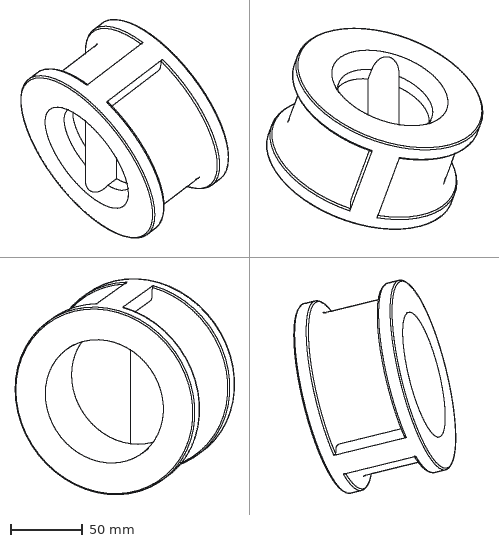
import cadquery as cq

outer_diameter = 137.0
length = 73.0
outer_radius = outer_diameter / 2
inlet_y = -length / 2
outlet_y = length / 2

waist_radius = 58.8
flange_rim_thickness = 11.0
flange_root_thickness = 11.5
waist_fillet = 2.7
outer_chamfer = 1.1
inner_chamfer_axial = 1.4
inner_chamfer_radial = 1.0
selection_margin = 0.1

inlet_radius = 42.6
throat_radius = 34.8
cone_depth = 11.0
seat_depth = 19.3
outlet_bore_radius = 90.0 / 2
seat_y = inlet_y + seat_depth

rib_width = 20.0
rib_radius = rib_width / 2
rib_axis_depth = 12.3

plate_thickness = 6.8


def y_cylinder(radius, y_start, y_end):
    """Cylinder on the Y axis between two Y positions."""
    return cq.Workplane("XZ", origin=(0, y_start, 0)).circle(radius).extrude(y_start - y_end)


def make_spool():
    """Waist between two flanges with chamfered rims and drafted inner faces."""
    rim_y = length / 2 - flange_rim_thickness
    root_y = length / 2 - flange_root_thickness
    outlet_flange = [
        (waist_radius, root_y),
        (outer_radius - inner_chamfer_radial, rim_y),
        (outer_radius, rim_y + inner_chamfer_axial),
        (outer_radius, outlet_y - outer_chamfer),
        (outer_radius - outer_chamfer, outlet_y),
    ]
    inlet_flange = [(radius, -y) for radius, y in reversed(outlet_flange)]
    profile = [(0, inlet_y)] + inlet_flange + outlet_flange + [(0, outlet_y)]
    spool = cq.Workplane("XY").polyline(profile).close().revolve(360, (0, 0, 0), (0, 1, 0))
    box_reach = waist_radius + selection_margin
    box_y = root_y + selection_margin
    waist_edges = cq.selectors.BoxSelector(
        (-box_reach, -box_y, -box_reach),
        (box_reach, box_y, box_reach),
        boundingbox=True,
    )
    return spool.edges(waist_edges).edges("%CIRCLE").fillet(waist_fillet)


def make_webs():
    """Upper and lower webs, flush with the flange rims; the middle is bored out later."""
    web_length = length - 2 * flange_rim_thickness + 2 * inner_chamfer_axial
    bar = cq.Workplane("XY").box(rib_width, web_length, outer_diameter)
    return bar.intersect(y_cylinder(outer_radius, -web_length / 2, web_length / 2))


def make_passage():
    """Conical inlet, cylindrical throat and wider outlet bore."""
    profile = [
        (0, inlet_y),
        (inlet_radius, inlet_y),
        (throat_radius, inlet_y + cone_depth),
        (throat_radius, seat_y),
        (outlet_bore_radius, seat_y),
        (outlet_bore_radius, outlet_y),
        (0, outlet_y),
    ]
    return cq.Workplane("XY").polyline(profile).close().revolve(360, (0, 0, 0), (0, 1, 0))


def make_rib():
    """Round-nosed rib across the inlet, ending at the seat and trimmed by the passage."""
    axis_y = inlet_y + rib_axis_depth
    profile = (
        cq.Workplane("XY", origin=(0, 0, -outer_radius))
        .moveTo(-rib_radius, seat_y)
        .lineTo(-rib_radius, axis_y)
        .threePointArc((0, axis_y - rib_radius), (rib_radius, axis_y))
        .lineTo(rib_radius, seat_y)
        .close()
    )
    return profile.extrude(outer_diameter)


def make_housing():
    passage = make_passage()
    return make_spool().union(make_webs()).cut(passage.cut(make_rib()))


def make_plate(side):
    """Half disc resting on the seat; side is -1 for -X and +1 for +X."""
    disc = y_cylinder(outlet_bore_radius, seat_y, seat_y + plate_thickness)
    half_space = cq.Workplane("XY").box(outer_diameter, length, outer_diameter)
    return disc.intersect(half_space.translate((side * outer_radius, 0, 0)))


housing = make_housing()
plates = [make_plate(side).val() for side in (-1, 1)]

result = cq.Compound.makeCompound([housing.val(), *plates])